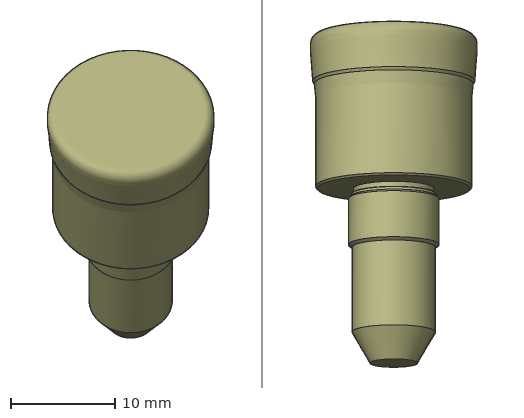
import cadquery as cq
import math

total_height = 32.0
underside_z = 17.0
neck_end_z = 16.48
collar_ridge_z = 16.2
collar_top_z = 16.0
collar_bottom_z = 11.52
stem_shoulder_z = 11.25
tip_height = 3.0
body_top_z = 25.9
cap_bevel_z = 27.17
cap_bottom_z = 27.45
cap_band_height = 0.5

cap_radius = 8.0
cap_bottom_radius = 7.78
cap_bevel_radius = 7.6
body_radius = 7.5
neck_radius = 3.87
lip_radius = 4.03
collar_ridge_radius = 4.13
collar_radius = 4.35
stem_radius = 4.0

cap_round = 1.0
body_chamfer = 0.2
tip_half_angle = 30.0

tip_radius = stem_radius - tip_height * math.tan(math.radians(tip_half_angle))
round_start_z = total_height - cap_round
band_bottom_z = round_start_z - cap_band_height
round_diagonal = cap_round * math.sqrt(0.5)
round_center_radius = cap_radius - cap_round
round_middle = (round_center_radius + round_diagonal, round_start_z + round_diagonal)

profile = (
    cq.Workplane("XZ")
    .moveTo(0, 0)
    .lineTo(tip_radius, 0)
    .lineTo(stem_radius, tip_height)
    .lineTo(stem_radius, stem_shoulder_z)
    .lineTo(collar_radius, collar_bottom_z)
    .lineTo(collar_radius, collar_top_z)
    .lineTo(collar_ridge_radius, collar_ridge_z)
    .lineTo(lip_radius, neck_end_z)
    .lineTo(neck_radius, neck_end_z)
    .lineTo(neck_radius, underside_z)
    .lineTo(body_radius - body_chamfer, underside_z)
    .lineTo(body_radius, underside_z + body_chamfer)
    .lineTo(body_radius, body_top_z)
    .lineTo(cap_bevel_radius, cap_bevel_z)
    .lineTo(cap_bottom_radius, cap_bottom_z)
    .lineTo(cap_radius, band_bottom_z)
    .lineTo(cap_radius, round_start_z)
    .threePointArc(round_middle, (round_center_radius, total_height))
    .lineTo(0, total_height)
    .close()
)

result = profile.revolve(360, (0, 0, 0), (0, 1, 0))